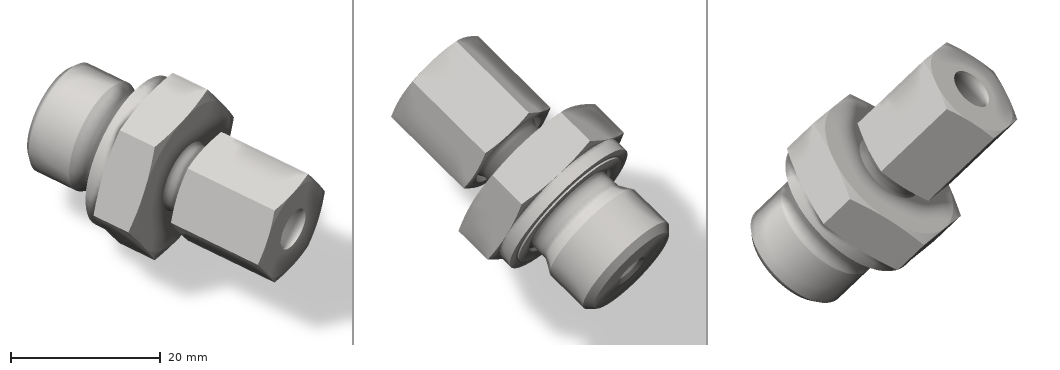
import cadquery as cq
import math


collar_face_x = 12.0
hex_start_x = 14.0
hex_end_x = 20.5
nut_start_x = 23.5
nut_end_x = 38.0
stud_end_x = 34.0

thread_d = 16.0
thread_chamfer = 1.0
thread_length = 7.4
relief_d = 13.7
relief_fillet = 1.1
relief_angle = math.radians(30)

collar_d = 21.9
seal_d = 19.0
seal_hole_d = 15.2
collar_root_angle = math.radians(25)
seal_thickness = 1.5
seal_protrusion = 0.25
body_hex_flats = 22.0
hex_chamfer_angle = math.radians(15)

neck_d = 9.7
neck_fillet = 0.8
neck_root_angle = math.radians(45)
stud_d = 12.0

bore_d = 4.0
bore_chamfer = 0.5
nut_hex_flats = 14.0
tube_d = 6.0


def cylinder(start_x, end_x, diameter):
    """Round bar along X."""
    return cq.Workplane("YZ", origin=(start_x, 0, 0)).circle(diameter / 2).extrude(end_x - start_x)


def chamfered_hexagon(start_x, end_x, flats):
    """Hexagonal bar along X, flats facing +Z and -Z, corners cut by a cone at both ends."""
    corner_d = flats / math.cos(math.pi / 6)
    corner_r = corner_d / 2
    face_r = flats / 2
    chamfer_run = (corner_r - face_r) * math.tan(hex_chamfer_angle)
    bar = cq.Workplane("YZ", origin=(start_x, 0, 0)).polygon(6, corner_d).extrude(end_x - start_x)
    envelope = (
        cq.Workplane("XY")
        .moveTo(start_x, 0)
        .lineTo(start_x, face_r)
        .lineTo(start_x + chamfer_run, corner_r)
        .lineTo(end_x - chamfer_run, corner_r)
        .lineTo(end_x, face_r)
        .lineTo(end_x, 0)
        .close()
        .revolve(360, (0, 0, 0), (1, 0, 0))
    )
    return bar.intersect(envelope)


def fillet_point(tangent_x, base_r, fillet_r, angle, direction):
    """Point on a concave fillet after turning by angle from its tangency with a cylinder."""
    x = tangent_x + direction * fillet_r * math.sin(angle)
    r = base_r + fillet_r * (1 - math.cos(angle))
    return (x, r)


def make_turned_stud():
    """Revolved part of the housing: thread, relief groove, collar, neck and nut-side stud."""
    thread_r = thread_d / 2
    relief_r = relief_d / 2
    neck_r = neck_d / 2
    stud_r = stud_d / 2

    fillet_rise = relief_fillet * (1 - math.cos(relief_angle))
    cone_run = (thread_r - relief_r - fillet_rise) / math.tan(relief_angle)
    relief_x = thread_length + cone_run + relief_fillet * math.sin(relief_angle)

    seal_hole_r = seal_hole_d / 2
    root_end_x = collar_face_x + (seal_hole_r - relief_r) * math.tan(collar_root_angle)

    neck_start_x = hex_end_x + neck_fillet * math.sin(neck_root_angle)
    neck_end_x = nut_start_x - neck_fillet * math.sin(relief_angle)
    cone_start_x, cone_start_r = fillet_point(neck_end_x, neck_r, neck_fillet, relief_angle, 1)
    stud_start_x = cone_start_x + (stud_r - cone_start_r) / math.tan(relief_angle)

    return (
        cq.Workplane("XY")
        .lineTo(0, thread_r - thread_chamfer)
        .lineTo(thread_chamfer, thread_r)
        .lineTo(thread_length, thread_r)
        .lineTo(*fillet_point(relief_x, relief_r, relief_fillet, relief_angle, -1))
        .threePointArc(
            fillet_point(relief_x, relief_r, relief_fillet, relief_angle / 2, -1),
            (relief_x, relief_r),
        )
        .lineTo(collar_face_x, relief_r)
        .lineTo(root_end_x, seal_hole_r)
        .lineTo(collar_face_x, seal_hole_r)
        .lineTo(collar_face_x, collar_d / 2)
        .lineTo(hex_end_x, collar_d / 2)
        .lineTo(*fillet_point(neck_start_x, neck_r, neck_fillet, neck_root_angle, -1))
        .threePointArc(
            fillet_point(neck_start_x, neck_r, neck_fillet, neck_root_angle / 2, -1),
            (neck_start_x, neck_r),
        )
        .lineTo(neck_end_x, neck_r)
        .threePointArc(
            fillet_point(neck_end_x, neck_r, neck_fillet, relief_angle / 2, 1),
            (cone_start_x, cone_start_r),
        )
        .lineTo(stud_start_x, stud_r)
        .lineTo(stud_end_x, stud_r)
        .lineTo(stud_end_x, 0)
        .close()
        .revolve(360, (0, 0, 0), (1, 0, 0))
    )


def make_seal_ring():
    """Flat ring recessed in the collar, clear of the relief groove and slightly proud of the face."""
    start_x = collar_face_x - seal_protrusion
    end_x = start_x + seal_thickness
    return cylinder(start_x, end_x, seal_d).cut(cylinder(start_x, end_x, seal_hole_d))


def make_housing():
    """Turned stud with its hexagon, seal recess and through bore."""
    hexagon = chamfered_hexagon(hex_start_x, hex_end_x, body_hex_flats)
    through_bore = cylinder(0, stud_end_x, bore_d)
    bore_mouth = cq.Workplane(
        cq.Solid.makeCone(
            bore_d / 2 + bore_chamfer, bore_d / 2, bore_chamfer, cq.Vector(0, 0, 0), cq.Vector(1, 0, 0)
        )
    )
    housing = make_turned_stud().union(hexagon)
    return housing.cut(through_bore).cut(bore_mouth).cut(make_seal_ring())


def make_nut():
    """Union nut over the stud, with a tube hole through its end."""
    nut = chamfered_hexagon(nut_start_x, nut_end_x, nut_hex_flats)
    stud_hole = cylinder(nut_start_x, stud_end_x, stud_d)
    tube_hole = cylinder(stud_end_x, nut_end_x, tube_d)
    return nut.cut(stud_hole).cut(tube_hole)


housing = make_housing()
seal_ring = make_seal_ring()
nut = make_nut()

result = cq.Compound.makeCompound([housing.solids().val(), seal_ring.solids().val(), nut.solids().val()])